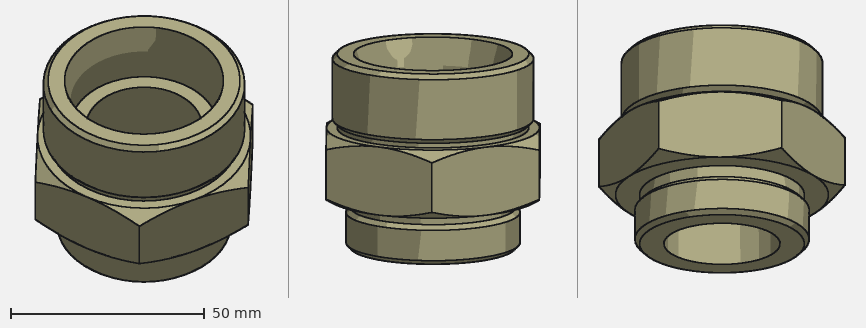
import cadquery as cq
import math

total_height = 51.0
hex_bottom = 13.5
hex_height = 18.0
hex_top = hex_bottom + hex_height
relief_height = 1.2
neck_height = 3.05

corner_diameter = 63.5
flats_radius = corner_diameter / 2 * math.cos(math.radians(30))
hex_chamfer_angle = 30.0

lower_radius = 45.0 / 2
lower_groove_radius = 42.55 / 2
lower_chamfer = lower_radius - lower_groove_radius
upper_radius = 52.0 / 2
upper_groove_radius = 49.55 / 2
upper_chamfer = upper_radius - upper_groove_radius

bore_radius = 30.0 / 2
socket_radius = 38.0 / 2
socket_depth = 16.0
mouth_radius = 41.0 / 2
cone_half_angle = 12.0
cone_depth = (mouth_radius - socket_radius) / math.tan(math.radians(cone_half_angle))


def revolve_profile(points):
    """Revolve a closed (radius, height) outline about the Z axis."""
    return cq.Workplane("XZ").polyline(points).close().revolve(360, (0, 0, 0), (0, 1, 0))


def make_hexagon():
    """Hexagon whose corners are cut by a cone at both ends."""
    prism = (
        cq.Workplane("XY")
        .workplane(offset=hex_bottom)
        .polygon(6, corner_diameter)
        .extrude(hex_height)
        .rotate((0, 0, 0), (0, 0, 1), 90)
    )
    outer_radius = corner_diameter / 2 + 0.65
    drop = (outer_radius - flats_radius) * math.tan(math.radians(hex_chamfer_angle))
    envelope = revolve_profile([
        (0, hex_bottom),
        (flats_radius, hex_bottom),
        (outer_radius, hex_bottom + drop),
        (outer_radius, hex_top - drop),
        (flats_radius, hex_top),
        (0, hex_top),
    ])
    return prism.intersect(envelope)


def make_turned_body():
    """Both threaded ends, with their chamfers and undercut grooves."""
    lower_end = hex_bottom - neck_height
    upper_start = hex_top + relief_height
    return revolve_profile([
        (0, 0),
        (lower_groove_radius, 0),
        (lower_radius, lower_chamfer),
        (lower_radius, lower_end - lower_chamfer),
        (lower_groove_radius, lower_end),
        (lower_groove_radius, hex_bottom),
        (upper_groove_radius, hex_bottom),
        (upper_groove_radius, upper_start),
        (upper_radius, upper_start + upper_chamfer),
        (upper_radius, total_height - upper_chamfer),
        (upper_groove_radius, total_height),
        (0, total_height),
    ])


def make_bore():
    """Through bore, wider socket and conical mouth."""
    socket_floor = total_height - socket_depth
    return revolve_profile([
        (0, 0),
        (bore_radius, 0),
        (bore_radius, socket_floor),
        (socket_radius, socket_floor),
        (socket_radius, total_height - cone_depth),
        (mouth_radius, total_height),
        (0, total_height),
    ])


result = make_turned_body().union(make_hexagon()).cut(make_bore())